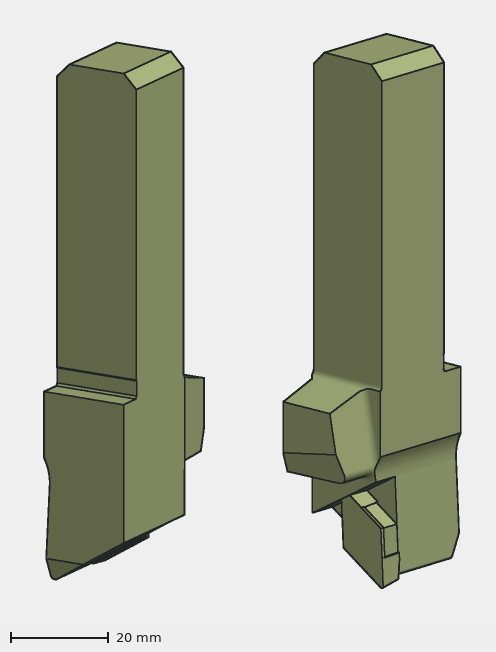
import cadquery as cq
import math


shank_width = 19.0
shank_thickness = 18.9
tool_length = 111.0
shank_chamfer = 3.0
shoulder_depth = 4.9
shoulder_z = 42.1
shank_front = 5.1
shank_back = shank_front + shank_thickness
head_back = 24.4

relief_depth = 0.1
relief_bottom = 42.6
relief_top = 45.8
relief_lead = 0.2

lead_angle = math.radians(3)
nose_angle = math.radians(55)
trail_angle = math.pi / 2 - lead_angle - nose_angle
scallop_top = 28.0
scallop_bottom = 22.3
scallop_depth = 1.3
slope_top = 12.5
corner_radius = 0.8
front_chamfer_depth = 2.5
front_chamfer_top = 6.5
front_chamfer_bottom = 1.7

boss_back = 35.3
boss_bottom = 23.5
boss_left = 1.5
boss_left_slope = 0.196
boss_left_start = 25.9
boss_round = 2.0
boss_back_right = 17.1
boss_base_right = 18.1
boss_back_top = 38.7
boss_base_top = 41.9
boss_fillet = 1.7
boss_top_fillet = 1.5
bevel_points = [(2.3, boss_back, 30.3), (boss_left, 33.7, boss_left_start), (17.8, 33.9, boss_bottom)]

pocket_floor = 18.5
pocket_wall_end = 12.3
rake_face = 24.2
insert_side = 13.1
insert_tip_x = -0.5
nose_radius = 0.4
clearance_angle = 4.0
recess_depth = 0.4
recess_edge = 0.9
recess_bottom = 6.3
recess_start_x = 5.5
recess_top = 16.0
tip_relief_top = 4.9
tip_relief_bottom = 0.3
tip_relief_depth = 0.7

reach = 66.6


def prism_along_y(points, y_start, y_end):
    """Prism over a polygon of (x, z) points, between two Y values."""
    return cq.Workplane("XZ", origin=(0, y_start, 0)).polyline(points).close().extrude(y_start - y_end)


def prism_along_x(points, x_start, x_end):
    """Prism over a polygon of (y, z) points, between two X values."""
    return cq.Workplane("YZ", origin=(x_start, 0, 0)).polyline(points).close().extrude(x_end - x_start)


def wall_height(x):
    """Z of the pocket wall, which runs straight from the scallop down to the right side."""
    fraction = (x - scallop_depth) / (shank_width - scallop_depth)
    return scallop_bottom + fraction * (pocket_wall_end - scallop_bottom)


def below_pocket_wall():
    left = -shank_width
    right = 2 * shank_width
    points = [(left, wall_height(left)), (right, wall_height(right)), (right, -reach), (left, -reach)]
    return prism_along_y(points, pocket_floor, boss_back)



def holder_outline():
    """The X-Z outline of shank and cutting end, as deep as the whole holder."""
    slope = math.tan(trail_angle)
    lean = math.tan(lead_angle)
    corner_z = slope_top - slope * (shank_width - scallop_depth + lean * scallop_bottom)
    corner_z /= 1 - slope * lean
    corner_x = scallop_depth - lean * (scallop_bottom - corner_z)
    outline = (
        cq.Workplane("XZ")
        .moveTo(corner_x, corner_z)
        .lineTo(scallop_depth, scallop_bottom)
        .tangentArcPoint((0, scallop_top), relative=False)
        .lineTo(0, tool_length - shank_chamfer)
        .lineTo(shank_chamfer, tool_length)
        .lineTo(shank_width - shank_chamfer, tool_length)
        .lineTo(shank_width, tool_length - shank_chamfer)
        .lineTo(shank_width, slope_top)
        .close()
        .extrude(-boss_back)
    )
    return outline.edges("|Y").edges("<Z").fillet(corner_radius)


def side_profile():
    """The Y-Z profile of shank, head and boss, wider than the holder on both sides."""
    chamfer_slope = front_chamfer_depth / (front_chamfer_top - front_chamfer_bottom)
    relief_face = shank_front + relief_depth
    points = [
        (chamfer_slope * front_chamfer_top, 0),
        (0, front_chamfer_top),
        (0, shoulder_z),
        (shoulder_depth, shoulder_z),
        (relief_face, relief_bottom),
        (relief_face, relief_top),
        (shank_front, relief_top + relief_lead),
        (shank_front, tool_length),
        (shank_back, tool_length),
        (shank_back, boss_base_top),
        (boss_back, boss_back_top),
        (boss_back, 0),
    ]
    profile = prism_along_x(points, -shank_width, 2 * shank_width)
    inner_edge = cq.selectors.NearestToPointSelector((shank_width / 2, shank_back, boss_base_top))
    return profile.edges("|X").edges(inner_edge).fillet(boss_top_fillet)


def boss_left_at(z):
    return boss_left + boss_left_slope * (z - boss_left_start)


def boss_bevel():
    """Wedge that bevels the lower back edge of the boss along a slightly skewed plane."""
    first, second, third = (cq.Vector(*point) for point in bevel_points)
    normal = (second - first).cross(third - first)
    if normal.y < 0:
        normal = -normal
    plane = cq.Plane(origin=first.toTuple(), normal=normal.toTuple())
    return cq.Workplane(plane).rect(reach, reach).extrude(shank_width)


def boss():
    """Boss with a leaning left side, tapered right side and bevelled lower edge, up to full height."""
    section = [
        (boss_left_at(boss_bottom), boss_bottom),
        (boss_left_at(reach), reach),
        (boss_base_right, reach),
        (boss_base_right, boss_bottom),
    ]
    body = prism_along_y(section, head_back, boss_back)
    body = body.edges("|Y").edges("<Z").edges("<X").fillet(boss_round)
    tapered_side = (
        cq.Workplane("XY")
        .polyline([(0, head_back), (boss_base_right, head_back), (boss_back_right, boss_back), (0, boss_back)])
        .close()
        .extrude(reach)
    )
    return body.intersect(tapered_side).cut(boss_bevel())


def make_holder():
    block = cq.Workplane("XY").box(4 * shank_width, head_back, tool_length, centered=(True, False, False))
    blended = block.union(boss())
    margin = boss_fillet / 2
    foot = cq.selectors.BoxSelector(
        (-margin, head_back - margin, boss_bottom - margin),
        (shank_width, head_back + margin, reach - margin),
    )
    blended = blended.edges(foot).fillet(boss_fillet)
    return blended.intersect(side_profile()).intersect(holder_outline()).cut(below_pocket_wall())



def along(angle_from_x, length):
    return length * math.cos(angle_from_x), length * math.sin(angle_from_x)


def insert_corners():
    """The rhombus of the rake face as (x, z) points, starting at its sharp tip and going right."""
    bisector = trail_angle + nose_angle / 2
    back_x, back_z = along(bisector, nose_radius / math.sin(nose_angle / 2))
    tip = (insert_tip_x + nose_radius - back_x, nose_radius - back_z)
    right = along(trail_angle, insert_side)
    left = along(trail_angle + nose_angle, insert_side)
    lower = (tip[0] + right[0], tip[1] + right[1])
    far = (lower[0] + left[0], lower[1] + left[1])
    upper = (tip[0] + left[0], tip[1] + left[1])
    return [tip, lower, far, upper]


def tapered_rhombus(y_start, inset):
    """The insert's rhombus, set in by `inset` and narrowing from y_start down to the pocket floor."""
    outline = cq.Workplane("XZ", origin=(0, y_start, 0)).polyline(insert_corners()).close()
    if inset > 0:
        outline = outline.offset2D(-inset)
    return outline.extrude(y_start - pocket_floor, taper=clearance_angle)


def recess_zone(rim):
    """Region of the stepped-in flanks, ending level on the left and square to the lower flank."""
    tip_x, tip_z = insert_corners()[0]
    start_z = tip_z + (recess_start_x - tip_x) * math.tan(trail_angle)
    knee_x = recess_start_x - (recess_bottom - start_z) * math.tan(trail_angle)
    floor_x = recess_start_x + start_z * math.tan(trail_angle)
    points = [
        (-shank_width, recess_bottom),
        (knee_x, recess_bottom),
        (floor_x, 0),
        (shank_width, 0),
        (shank_width, recess_top),
        (-shank_width, recess_top),
    ]
    return prism_along_y(points, pocket_floor, rim)


def make_insert():
    body = tapered_rhombus(rake_face, 0)
    tip_edge = body.edges(cq.selectors.NearestToPointSelector((insert_tip_x, (pocket_floor + rake_face) / 2, 0)))
    body = tip_edge.fillet(nose_radius)

    rim = rake_face - recess_edge
    recess = recess_zone(rim).cut(tapered_rhombus(rim, recess_depth))
    body = body.cut(recess)

    tip_relief = prism_along_x(
        [
            (pocket_floor, tip_relief_top),
            (pocket_floor + tip_relief_depth, tip_relief_bottom),
            (pocket_floor + tip_relief_depth, -reach),
            (pocket_floor, -reach),
        ],
        -shank_width,
        shank_width,
    )
    return body.cut(tip_relief).intersect(below_pocket_wall())


holder = make_holder()
insert = make_insert()
result = cq.Compound.makeCompound([holder.val(), insert.val()])